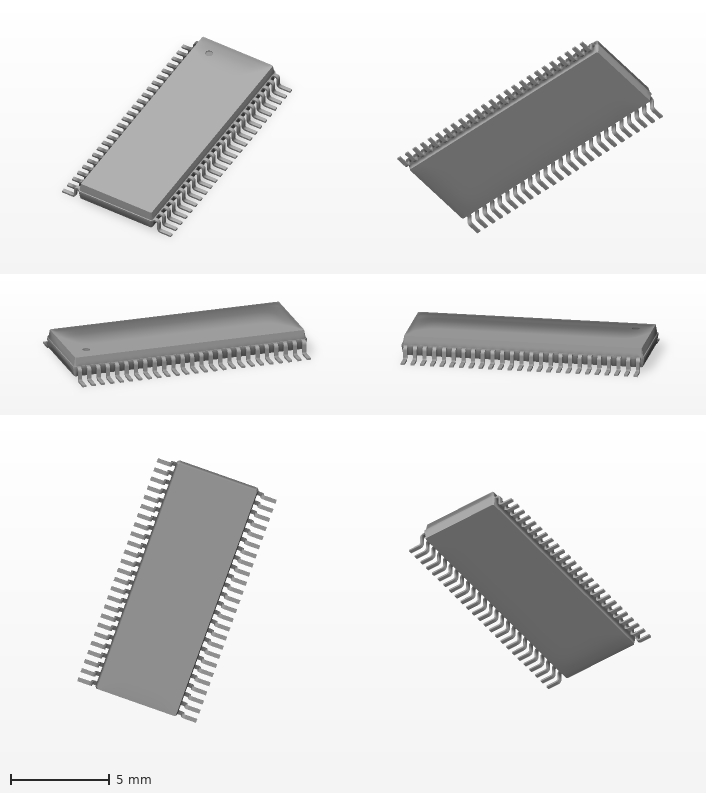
import cadquery as cq

total_length = 12.5
total_height = 1.2
lead_span = 6.4

lead_thickness = 0.1

body_width = 4.4
body_bottom = 0.2
belt_middle = (body_bottom + total_height) / 2
belt_top = belt_middle + lead_thickness / 2
belt_bottom = belt_middle - lead_thickness / 2
belt_ledge = 0.05
face_taper = 0.08
belt_chamfer = 0.1
upper_chamfer = 0.08
top_chamfer = 0.04
bottom_chamfer = 0.06

mark_diameter = 0.4
mark_depth = 0.05
mark_x = -1.18
mark_y = 5.24

leads_per_side = 25
lead_pitch = 0.5
lead_width = 0.2
lead_top = belt_top
shank_outer_x = 2.5
bend_inner_radius = 0.1
bend_outer_radius = bend_inner_radius + lead_thickness
lead_root_depth = 0.2
lead_root_x = body_width / 2 - lead_root_depth


def outline_sketch(inset, chamfer):
    """Body outline with cut corners, drawn in from the belt by the inset."""
    return (
        cq.Sketch()
        .rect(body_width - 2 * inset, total_length - 2 * inset)
        .vertices()
        .chamfer(chamfer)
    )


def tapered_half(start_z, start_outline, end_z, end_outline):
    """Half of the body, narrowing from the belt to its flat end face."""
    end_offset = cq.Location(cq.Vector(0, 0, end_z - start_z))
    return (
        cq.Workplane("XY")
        .workplane(offset=start_z)
        .placeSketch(start_outline, end_outline.moved(end_offset))
        .loft()
    )


def make_body():
    """Straight belt, a tapered half set back above it, a tapered half below, and the pin-one mark."""
    belt_outline = outline_sketch(0, belt_chamfer)
    belt = (
        cq.Workplane("XY")
        .workplane(offset=belt_bottom)
        .placeSketch(belt_outline)
        .extrude(belt_top - belt_bottom)
    )
    upper = tapered_half(
        belt_top,
        outline_sketch(belt_ledge, upper_chamfer),
        total_height,
        outline_sketch(belt_ledge + face_taper, top_chamfer),
    )
    lower = tapered_half(
        belt_bottom,
        belt_outline,
        body_bottom,
        outline_sketch(face_taper, bottom_chamfer),
    )
    mark = (
        cq.Workplane("XY")
        .workplane(offset=total_height - mark_depth)
        .center(mark_x, mark_y)
        .circle(mark_diameter / 2)
        .extrude(mark_depth)
    )
    return belt.union(upper).union(lower).cut(mark)


def make_lead():
    """One lead on the +X side, centred on Y = 0: root, shoulder bend, shank, foot bend, foot."""
    tip_x = lead_span / 2
    shank_inner_x = shank_outer_x - lead_thickness
    shoulder_x = shank_outer_x - bend_outer_radius
    shoulder_z = lead_top - bend_outer_radius
    foot_x = shank_outer_x + bend_inner_radius
    foot_z = lead_thickness + bend_inner_radius
    return (
        cq.Workplane("XZ")
        .moveTo(lead_root_x, lead_top)
        .lineTo(shoulder_x, lead_top)
        .radiusArc((shank_outer_x, shoulder_z), bend_outer_radius)
        .lineTo(shank_outer_x, foot_z)
        .radiusArc((foot_x, lead_thickness), -bend_inner_radius)
        .lineTo(tip_x, lead_thickness)
        .lineTo(tip_x, 0)
        .lineTo(foot_x, 0)
        .radiusArc((shank_inner_x, foot_z), bend_outer_radius)
        .lineTo(shank_inner_x, shoulder_z)
        .radiusArc((shoulder_x, lead_top - lead_thickness), -bend_inner_radius)
        .lineTo(lead_root_x, lead_top - lead_thickness)
        .close()
        .extrude(lead_width / 2, both=True)
    )


def make_leads():
    """Both rows of leads, evenly spaced and centred along the body."""
    right_lead = make_lead()
    left_lead = right_lead.mirror("YZ")
    first_y = -lead_pitch * (leads_per_side - 1) / 2
    leads = []
    for index in range(leads_per_side):
        lead_y = first_y + index * lead_pitch
        for lead in (right_lead, left_lead):
            leads.append(lead.translate((0, lead_y, 0)).val())
    return leads


body = make_body().val()
result = cq.Workplane(body.fuse(*make_leads()).clean())